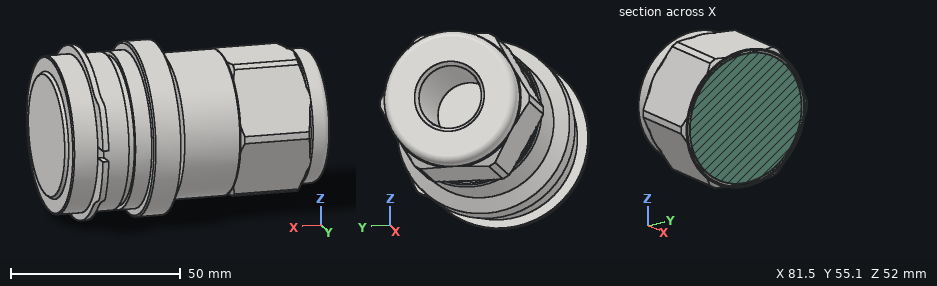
import cadquery as cq
import math


collar_radius = 20.0
cap_rounding = 2.0
collar_end = 5.5
hex_across_flats = 2 * collar_radius
hex_corner_radius = 22.5
hex_turn = 30.0
hex_lead_x = 6.2
hex_lead_radius = 20.25
hex_front_x = 7.5
hex_rear_x = 27.3
hex_rear_radius = 21.2
cap_end = 28.1

body_radius = 21.75
body_chamfer_end = cap_end + 0.5
mouth_radius = 20.7
mouth_depth = 0.5
body_end = 45.6
flange_radius = 26.0
flange_start = 48.1
flange_end = 56.3
flange_chamfer = 0.5
shank_radius = 23.5
groove_start = 61.3
groove_end = 63.3
groove_radius = 22.3
shank_end = 80.5
shank_chamfer = 0.4
nub_root_radius = 18.9
nub_radius = 18.2
nub_end = 81.5

ring_start = 71.1
ring_thickness = 1.8
ring_radius = flange_radius
ring_offset = -0.64
lug_radius = 28.55
flank_point_y = 24.2
flank_point_z = 14.5
lug_flank_angle = math.radians(22.5)
lug_corner_rounding = 2.9
lug_root_rounding = 10.0
slot_width = 3.3

hole_radius = 9.4
hole_chamfer = 1.1
hole_depth = cap_end


def revolve_about_x(profile):
    """Turn a closed (x, radius) profile about the X axis."""
    return profile.close().revolve(360, (0, 0, 0), (1, 0, 0))


def make_cap():
    collar = cq.Workplane("YZ").circle(collar_radius).extrude(cap_end)
    collar = collar.faces("<X").edges().fillet(cap_rounding)
    hexagon = (
        cq.Workplane("YZ", origin=(collar_end, 0, 0))
        .polygon(6, hex_across_flats, circumscribed=True)
        .extrude(cap_end - collar_end)
        .rotate((0, 0, 0), (1, 0, 0), hex_turn)
    )
    envelope = revolve_about_x(
        cq.Workplane("XY")
        .moveTo(collar_end, 0)
        .lineTo(collar_end, collar_radius)
        .lineTo(hex_lead_x, hex_lead_radius)
        .lineTo(hex_front_x, hex_corner_radius)
        .lineTo(hex_rear_x, hex_corner_radius)
        .lineTo(cap_end, hex_rear_radius)
        .lineTo(cap_end, 0)
    )
    return collar.union(hexagon.intersect(envelope))


def make_body():
    return revolve_about_x(
        cq.Workplane("XY")
        .moveTo(cap_end, 0)
        .lineTo(cap_end, collar_radius)
        .lineTo(cap_end + mouth_depth, collar_radius)
        .lineTo(cap_end, mouth_radius)
        .lineTo(cap_end, hex_rear_radius)
        .lineTo(body_chamfer_end, body_radius)
        .lineTo(body_end, body_radius)
        .lineTo(flange_start, flange_radius)
        .lineTo(flange_end - flange_chamfer, flange_radius)
        .lineTo(flange_end, flange_radius - flange_chamfer)
        .lineTo(flange_end, shank_radius)
        .lineTo(groove_start, shank_radius)
        .lineTo(groove_start, groove_radius)
        .lineTo(groove_end, groove_radius)
        .lineTo(groove_end, shank_radius)
        .lineTo(shank_end - shank_chamfer, shank_radius)
        .lineTo(shank_end, shank_radius - shank_chamfer)
        .lineTo(shank_end, nub_root_radius)
        .lineTo(nub_end, nub_radius)
        .lineTo(nub_end, 0)
    )


def make_ring():
    ring_plane = cq.Workplane("YZ", origin=(ring_start, 0, 0))
    disc = ring_plane.center(ring_offset, 0).circle(ring_radius).extrude(ring_thickness)

    flank_z_at_axis = flank_point_z + flank_point_y * math.tan(lug_flank_angle)
    flank_end_z = flank_z_at_axis - lug_radius * math.tan(lug_flank_angle)
    wedge = (
        ring_plane.moveTo(0, -flank_z_at_axis)
        .lineTo(lug_radius, -flank_end_z)
        .lineTo(lug_radius, flank_end_z)
        .lineTo(0, flank_z_at_axis)
        .close()
        .extrude(ring_thickness)
    )
    lug = wedge.intersect(ring_plane.circle(lug_radius).extrude(ring_thickness))
    lug = lug.edges("|X and (not <Y)").fillet(lug_corner_rounding)

    ring = disc.union(lug)
    root_search = cq.selectors.BoxSelector(
        (ring_start, 0, -ring_radius),
        (ring_start + ring_thickness, body_radius, ring_radius),
    )
    ring = ring.edges("|X").edges(root_search).fillet(lug_root_rounding)

    slot_length = lug_radius - shank_radius
    slot_center = (lug_radius + shank_radius) / 2
    slot = ring_plane.center(slot_center, 0).rect(slot_length, slot_width)
    return ring.cut(slot.extrude(ring_thickness))


def make_entry_hole():
    return revolve_about_x(
        cq.Workplane("XY")
        .moveTo(0, 0)
        .lineTo(0, hole_radius + hole_chamfer)
        .lineTo(hole_chamfer, hole_radius)
        .lineTo(hole_depth, hole_radius)
        .lineTo(hole_depth, 0)
    )


result = make_cap().union(make_body()).union(make_ring()).cut(make_entry_hole())